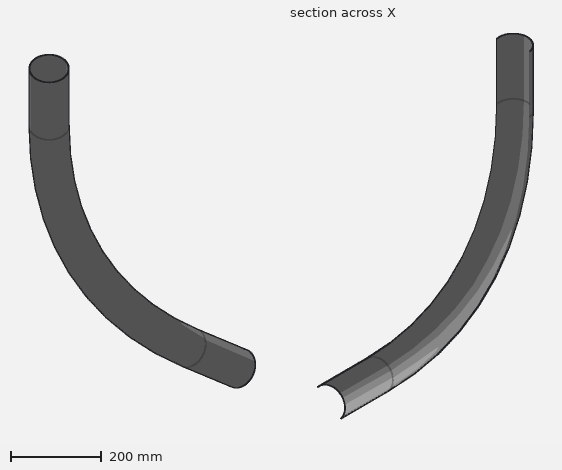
import cadquery as cq
import math

OUTER_DIAMETER = 88.9
INNER_DIAMETER = 84.68
BEND_RADIUS = 1219.2
BEND_ANGLE = 45.0
STRAIGHT_LENGTH = 177.8


def bend_point(angle_degrees):
    """Centreline point (Y, Z) in the bend, which starts at the origin heading down."""
    angle = math.radians(angle_degrees)
    y = BEND_RADIUS * (1 - math.cos(angle))
    z = -BEND_RADIUS * math.sin(angle)
    return y, z


def centreline():
    """Vertical straight, tangent arc towards +Y, then the sloping straight."""
    bend_end_y, bend_end_z = bend_point(BEND_ANGLE)
    slope = math.radians(BEND_ANGLE)
    lower_end = (
        bend_end_y + STRAIGHT_LENGTH * math.sin(slope),
        bend_end_z - STRAIGHT_LENGTH * math.cos(slope),
    )
    return (
        cq.Workplane("YZ")
        .moveTo(0, STRAIGHT_LENGTH)
        .lineTo(0, 0)
        .threePointArc(bend_point(BEND_ANGLE / 2), (bend_end_y, bend_end_z))
        .lineTo(*lower_end)
    )


def tube():
    """Sweep the ring-shaped section down the centreline from the upper end."""
    section = (
        cq.Workplane("XY", origin=(0, 0, STRAIGHT_LENGTH))
        .circle(OUTER_DIAMETER / 2)
        .circle(INNER_DIAMETER / 2)
    )
    return section.sweep(centreline())


result = tube()